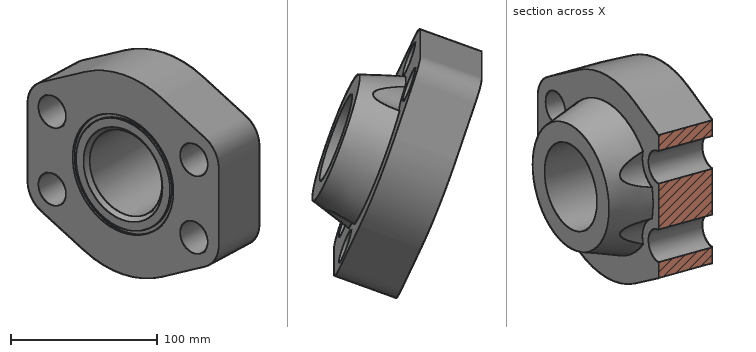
import cadquery as cq
import math

flange_width = 167.0
flange_height = 151.0
flange_thickness = 45.0
overall_depth = 75.0
neck_length = overall_depth - flange_thickness

bolt_spacing_x = 123.7
bolt_spacing_z = 58.6
bolt_hole_diameter = 24.0
bolt_clearance_diameter = 38.4

neck_base_diameter = 111.0
neck_end_diameter = 92.0
bore_diameter = 63.0
bore_chamfer = 3.0
groove_outer_diameter = 88.0
groove_width = 3.0
groove_depth = 2.0

bolt_x = bolt_spacing_x / 2
bolt_z = bolt_spacing_z / 2
bolt_positions = [(sx * bolt_x, sz * bolt_z) for sx in (-1, 1) for sz in (-1, 1)]


def front_plane(y=0.0):
    """Plane at depth y with local axes X and Z; positive extrusion goes toward -Y."""
    return cq.Workplane("XZ", origin=(0, y, 0))


def make_flange():
    """Plate bounded by two large arcs, four corner arcs and their common tangents."""
    large_radius = flange_height / 2
    corner_radius = flange_width / 2 - bolt_x
    side_x = flange_width / 2

    bolt_tilt = math.atan2(bolt_x, bolt_z)
    tangent_tilt = bolt_tilt - math.acos((large_radius - corner_radius) / math.hypot(bolt_x, bolt_z))
    corner_mid_tilt = (tangent_tilt + math.pi / 2) / 2

    large_x = large_radius * math.sin(tangent_tilt)
    large_z = large_radius * math.cos(tangent_tilt)
    corner_x = bolt_x + corner_radius * math.sin(tangent_tilt)
    corner_z = bolt_z + corner_radius * math.cos(tangent_tilt)
    mid_x = bolt_x + corner_radius * math.sin(corner_mid_tilt)
    mid_z = bolt_z + corner_radius * math.cos(corner_mid_tilt)

    outline = (
        front_plane()
        .moveTo(-large_x, large_z)
        .threePointArc((0, large_radius), (large_x, large_z))
        .lineTo(corner_x, corner_z)
        .threePointArc((mid_x, mid_z), (side_x, bolt_z))
        .lineTo(side_x, -bolt_z)
        .threePointArc((mid_x, -mid_z), (corner_x, -corner_z))
        .lineTo(large_x, -large_z)
        .threePointArc((0, -large_radius), (-large_x, -large_z))
        .lineTo(-corner_x, -corner_z)
        .threePointArc((-mid_x, -mid_z), (-side_x, -bolt_z))
        .lineTo(-side_x, bolt_z)
        .threePointArc((-mid_x, mid_z), (-corner_x, corner_z))
        .close()
    )
    return outline.extrude(-flange_thickness)


def make_neck():
    """Cone behind the flange, scalloped by the bolt-head clearances."""
    cone = (
        front_plane(flange_thickness)
        .circle(neck_base_diameter / 2)
        .workplane(offset=-neck_length)
        .circle(neck_end_diameter / 2)
        .loft()
    )
    clearances = (
        front_plane(flange_thickness)
        .pushPoints(bolt_positions)
        .circle(bolt_clearance_diameter / 2)
        .extrude(-neck_length)
    )
    return cone.cut(clearances)


def make_bolt_holes():
    return (
        front_plane()
        .pushPoints(bolt_positions)
        .circle(bolt_hole_diameter / 2)
        .extrude(-flange_thickness)
    )


def make_bore():
    """Through bore with a 45 degree chamfer at the mating face."""
    bore_radius = bore_diameter / 2
    bore = front_plane().circle(bore_radius).extrude(-overall_depth)
    chamfer = (
        front_plane()
        .circle(bore_radius + bore_chamfer)
        .workplane(offset=-bore_chamfer)
        .circle(bore_radius)
        .loft()
    )
    return bore.union(chamfer)


def make_seal_groove():
    outer_radius = groove_outer_diameter / 2
    return (
        front_plane()
        .circle(outer_radius)
        .circle(outer_radius - groove_width)
        .extrude(-groove_depth)
    )


result = (
    make_flange()
    .union(make_neck())
    .cut(make_bolt_holes())
    .cut(make_bore())
    .cut(make_seal_groove())
)